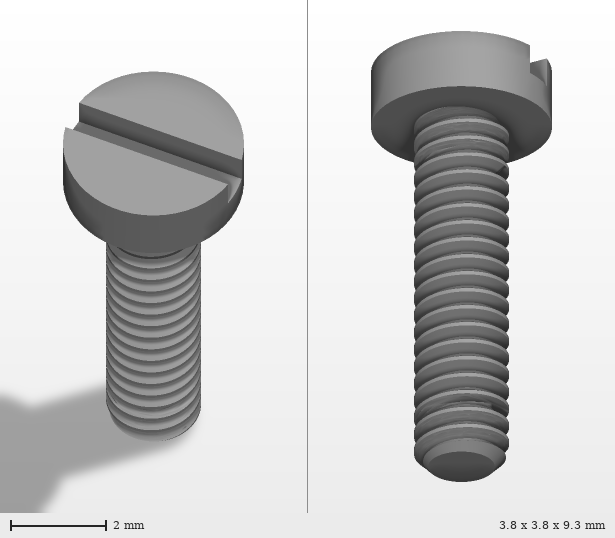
import cadquery as cq

head_diameter = 3.8
head_height = 1.3
slot_width = 0.7
slot_depth = head_height / 2

thread_diameter = 2.0
thread_length = 8.0
pitch = 0.4
core_diameter = 1.51
crest_width = pitch / 5
root_width = pitch / 8
groove_height_at_x = 0.125
tip_chamfer = 0.3
end_run = 2 * pitch

crest_radius = thread_diameter / 2
core_radius = core_diameter / 2
mouth_width = pitch - crest_width

cutter_overhang = 0.04
cutter_radius = crest_radius + cutter_overhang
flank_run = (mouth_width - root_width) / (crest_radius - core_radius)
cutter_width = mouth_width + cutter_overhang * flank_run


def make_head():
    """Round head with the driver slot along X."""
    head = cq.Workplane("XY").circle(head_diameter / 2).extrude(head_height)
    slot = (
        cq.Workplane("XY", origin=(0, 0, head_height))
        .rect(2 * head_diameter, slot_width)
        .extrude(-slot_depth)
    )
    return head.cut(slot)


def helix_wire(radius, start_height, rise):
    """Right-handed helix that starts on the +X side at the given height."""
    helix = cq.Wire.makeHelix(pitch, rise, radius)
    return helix.translate(cq.Vector(0, 0, start_height))


def make_groove():
    """Solid that fills the thread groove, running past both ends of the shank."""
    rise = thread_length + 2 * end_run
    start_height = groove_height_at_x - thread_length - end_run
    corners = [
        (core_radius, -root_width / 2),
        (cutter_radius, -cutter_width / 2),
        (cutter_radius, cutter_width / 2),
        (core_radius, root_width / 2),
    ]
    helices = [helix_wire(radius, start_height + offset, rise) for radius, offset in corners]
    faces = [cq.Face.makeRuledSurface(helices[i - 1], helices[i]) for i in range(len(helices))]
    for end_height in (start_height, start_height + rise):
        points = [cq.Vector(radius, 0, end_height + offset) for radius, offset in corners]
        faces.append(cq.Face.makeFromWires(cq.Wire.makePolygon(points, close=True)))
    return cq.Workplane(obj=cq.Solid.makeSolid(cq.Shell.makeShell(faces)))


def make_threaded_shank():
    """Shank with a chamfered tip and the thread groove cut along its full length."""
    blank = cq.Workplane("XY").circle(crest_radius).extrude(-thread_length)
    blank = blank.faces("<Z").chamfer(tip_chamfer)
    blank = blank.rotate((0, 0, 0), (0, 0, 1), 180)
    return blank.cut(make_groove())


head = make_head()
shank = make_threaded_shank()

result = cq.Compound.makeCompound([head.val(), *shank.vals()])